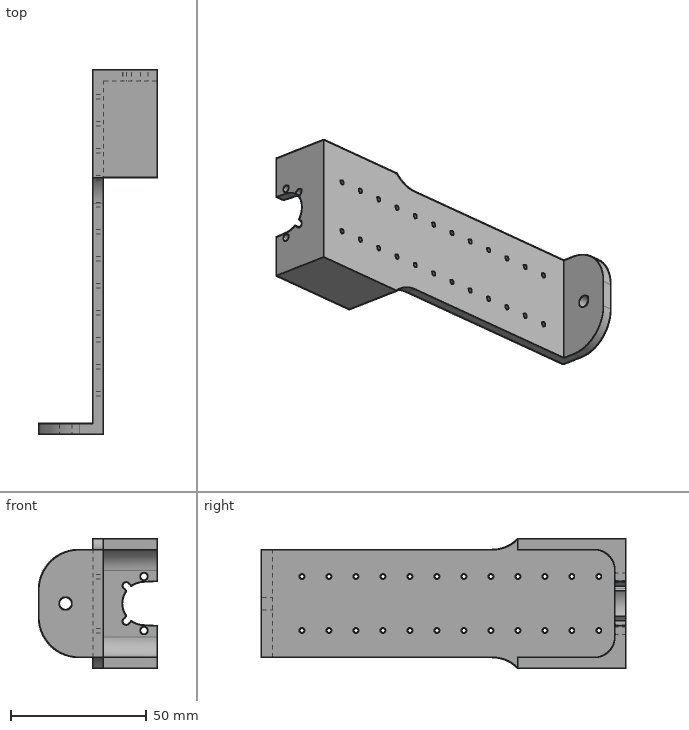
import cadquery as cq
import math

length = 135.0
channel_height = 48.0
wall = 4.0
tab_reach = 20.0
flange_reach = 20.0

arm_height = 40.0
channel_length = 40.0
neck_radius = 13.0
fillet_radius = 7.7

tab_radius = 15.0
pivot_diameter = 4.6
pivot_inset = 10.0

grid_pitch = 10.0
grid_columns = 12
grid_row_spacing = 20.0
grid_hole_diameter = 1.8

motor_radius = 8.0
motor_inset = 5.0
mouth_height = 16.5
screw_diameter = 2.7
screw_circle_radius = 10.0
notch_width = 2.5
notch_reach = 9.3

plate_x = tab_reach
flange_x = plate_x + wall
right_x = flange_x + flange_reach
channel_y = length - channel_length
motor_x = right_x - motor_inset
half_arm = arm_height / 2
half_channel = channel_height / 2
cut_depth = 2 * wall


def side_plate():
    """Plate with a narrow arm that flares along concave arcs to the channel height."""
    rise = half_channel - half_arm
    sweep = math.acos(1 - rise / neck_radius)
    neck_y = channel_y - neck_radius * math.sin(sweep)
    mid_y = neck_y + neck_radius * math.sin(sweep / 2)
    mid_z = half_arm + neck_radius * (1 - math.cos(sweep / 2))
    return (
        cq.Workplane("YZ", origin=(plate_x, 0, 0))
        .moveTo(0, -half_arm)
        .lineTo(neck_y, -half_arm)
        .threePointArc((mid_y, -mid_z), (channel_y, -half_channel))
        .lineTo(length, -half_channel)
        .lineTo(length, half_channel)
        .lineTo(channel_y, half_channel)
        .threePointArc((mid_y, mid_z), (neck_y, half_arm))
        .lineTo(0, half_arm)
        .close()
        .extrude(wall)
    )


def end_tab():
    """Rounded tab, with a pivot hole, across the free end of the arm."""
    tab = (
        cq.Workplane("XY")
        .box(flange_x, wall, arm_height, centered=(False, False, True))
        .edges("|Y and <X")
        .fillet(tab_radius)
    )
    return tab.cut(cylinder_along_y(pivot_inset, 0, pivot_diameter, 0))


def cylinder_along_y(x, z, diameter, y):
    """Cutter through one wall thickness around the wall that starts at y."""
    start = cq.Vector(x, y - wall / 2, z)
    return cq.Workplane(cq.Solid.makeCylinder(diameter / 2, cut_depth, start, cq.Vector(0, 1, 0)))


def channel():
    """Two flanges joined by a back wall, with filleted inner corners."""
    reach = right_x - plate_x
    outer = cq.Workplane("XY").box(
        reach, channel_length, channel_height, centered=(False, False, True)
    ).translate((plate_x, channel_y, 0))
    inside = cq.Workplane("XY").box(
        reach, channel_length - wall, channel_height - 2 * wall, centered=(False, False, True)
    ).edges("|X and >Y").fillet(fillet_radius)
    return outer.cut(inside.translate((plate_x, channel_y, 0)))


def motor_opening():
    """Open-sided motor bore with two diagonal notches and two screw holes."""
    back_y = length - wall
    cutter = cylinder_along_y(motor_x, 0, 2 * motor_radius, back_y)
    mouth = (
        cq.Workplane("XZ", origin=(0, back_y - wall / 2, 0))
        .moveTo(motor_x, -motor_radius)
        .lineTo(right_x, -mouth_height / 2)
        .lineTo(right_x, mouth_height / 2)
        .lineTo(motor_x, motor_radius)
        .close()
        .extrude(-cut_depth)
    )
    cutter = cutter.union(mouth)
    for side in (-1, 1):
        screw = cylinder_along_y(motor_x, side * screw_circle_radius, screw_diameter, back_y)
        notch = (
            cq.Workplane("XZ", origin=(motor_x, back_y - wall / 2, 0))
            .transformed(rotate=(0, 0, 180 - side * 45))
            .center(notch_reach / 2, 0)
            .slot2D(notch_reach + notch_width, notch_width)
            .extrude(-cut_depth)
        )
        cutter = cutter.union(screw).union(notch)
    return cutter


def grid_holes():
    """Two rows of small holes, spaced from the back end of the plate."""
    last_y = length - grid_pitch
    points = [
        (last_y - column * grid_pitch, side * grid_row_spacing / 2)
        for column in range(grid_columns)
        for side in (-1, 1)
    ]
    return (
        cq.Workplane("YZ", origin=(plate_x - wall / 2, 0, 0))
        .pushPoints(points)
        .circle(grid_hole_diameter / 2)
        .extrude(cut_depth)
    )


body = side_plate().union(channel()).union(end_tab())
result = body.cut(grid_holes()).cut(motor_opening())